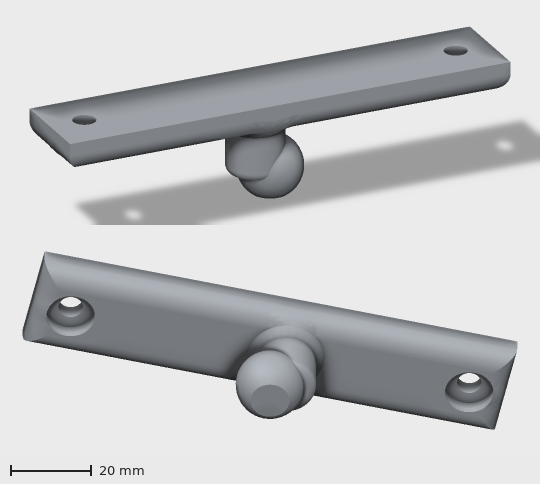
import cadquery as cq

PLATE_WIDTH = 24.0
PLATE_LENGTH = 120.0
PLATE_THICKNESS = 8.3
EDGE_RADIUS = 5.0
SELECTION_MARGIN = 0.1

HOLE_DIAMETER = 6.0
COUNTERBORE_DIAMETER = 12.0
COUNTERBORE_DEPTH = 4.0
HOLE_SPACING = 101.2

STEM_DIAMETER = 15.0
STEM_Y = -4.0
STEM_BOTTOM_Z = -22.5
STEM_END_RADIUS = 2.25
FLARE_SIZE = 2.0

BALL_DIAMETER = 17.0
BALL_CENTRE_Z = -21.5
BALL_FLAT_Z = -28.5


def make_plate():
    """Rectangular plate with its top face on Z = 0."""
    return cq.Workplane("XY").box(
        PLATE_WIDTH, PLATE_LENGTH, PLATE_THICKNESS, centered=(True, True, False)
    ).translate((0, 0, -PLATE_THICKNESS))


def make_screw_hole(y):
    """Through hole with a counterbore in the underside."""
    underside = cq.Workplane("XY", origin=(0, y, -PLATE_THICKNESS))
    hole = underside.circle(HOLE_DIAMETER / 2).extrude(PLATE_THICKNESS)
    counterbore = underside.circle(COUNTERBORE_DIAMETER / 2).extrude(COUNTERBORE_DEPTH)
    return hole.union(counterbore)


def make_flare():
    """45 degree cone that widens the stem where it meets the plate."""
    stem_radius = STEM_DIAMETER / 2
    return (
        cq.Workplane("XY", origin=(0, STEM_Y, -PLATE_THICKNESS))
        .circle(stem_radius + FLARE_SIZE)
        .workplane(offset=-FLARE_SIZE)
        .circle(stem_radius)
        .loft()
    )


def make_stem():
    """Round stem with a rounded lower end."""
    stem_length = -PLATE_THICKNESS - STEM_BOTTOM_Z
    return (
        cq.Workplane("XY", origin=(0, STEM_Y, STEM_BOTTOM_Z))
        .circle(STEM_DIAMETER / 2)
        .extrude(stem_length)
        .faces("<Z")
        .edges()
        .fillet(STEM_END_RADIUS)
    )


def make_ball():
    """Ball with its lowest cap removed."""
    ball = cq.Workplane("XY").sphere(BALL_DIAMETER / 2).translate((0, 0, BALL_CENTRE_Z))
    cap = cq.Workplane("XY", origin=(0, 0, BALL_FLAT_Z)).rect(BALL_DIAMETER, BALL_DIAMETER)
    return ball.cut(cap.extrude(-BALL_DIAMETER))


plate = make_plate()
for hole_y in (-HOLE_SPACING / 2, HOLE_SPACING / 2):
    plate = plate.cut(make_screw_hole(hole_y))

plate = plate.union(make_flare())
underside_edges = plate.edges(cq.selectors.BoxSelector(
    (-PLATE_WIDTH, -PLATE_LENGTH, -PLATE_THICKNESS - SELECTION_MARGIN),
    (PLATE_WIDTH, PLATE_LENGTH, -PLATE_THICKNESS + SELECTION_MARGIN),
))
plate = underside_edges.edges("%LINE").fillet(EDGE_RADIUS)

result = plate.union(make_stem()).union(make_ball())